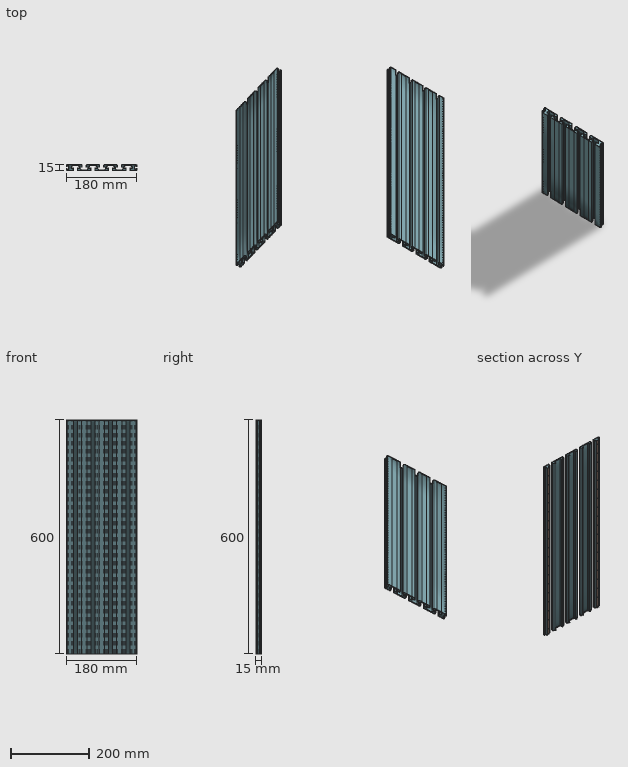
import cadquery as cq

WIDTH = 180.0
THICKNESS = 15.0
LENGTH = 600.0
CORNER_RADIUS = 2.0

SLOT_PITCH = 45.0
FRONT_SLOT_COUNT = 4
BACK_SLOT_COUNT = FRONT_SLOT_COUNT - 1
MOUTH_WIDTH = 10.2
CAVITY_WIDTH = 20.4
FLOOR_THICKNESS = 2.0
LIP_THICKNESS = 6.0
CAVITY_CHAMFER = 3.0
BACK_MOUTH_RADIUS = 2.5

SIDE_MOUTH_HEIGHT = 5.0
SIDE_CAVITY_HEIGHT = 9.5
SIDE_FLOOR_HEIGHT = 6.0
SIDE_LIP = 1.5
SIDE_DEPTH = 5.5


def extrude_half_outline(half_outline):
    """Full-length prism whose section is half_outline mirrored about the local Y axis."""
    mirrored = [(-x, y) for x, y in reversed(half_outline)]
    outline = half_outline + mirrored
    return cq.Workplane("XY").polyline(outline).close().extrude(LENGTH / 2, both=True)


def slot_cutter():
    """T-slot opening toward -Y, centred on X = 0."""
    face = -THICKNESS / 2
    lip_inside = face + LIP_THICKNESS
    floor = THICKNESS / 2 - FLOOR_THICKNESS
    half_mouth = MOUTH_WIDTH / 2
    half_cavity = CAVITY_WIDTH / 2
    return extrude_half_outline(
        [
            (half_mouth, face),
            (half_mouth, lip_inside),
            (half_cavity, lip_inside),
            (half_cavity, floor - CAVITY_CHAMFER),
            (half_cavity - CAVITY_CHAMFER, floor),
        ]
    )


def side_groove_cutter():
    """Undercut groove with its mouth at Y = 0, running toward +Y to a narrower floor."""
    half_mouth = SIDE_MOUTH_HEIGHT / 2
    half_cavity = SIDE_CAVITY_HEIGHT / 2
    half_floor = SIDE_FLOOR_HEIGHT / 2
    taper = half_cavity - half_floor
    return extrude_half_outline(
        [
            (half_mouth, 0),
            (half_mouth, SIDE_LIP),
            (half_cavity, SIDE_LIP),
            (half_cavity, SIDE_DEPTH - taper),
            (half_floor, SIDE_DEPTH),
        ]
    )


def slot_centers(count):
    """X positions of evenly spaced slots, symmetric about X = 0."""
    return [(i - (count - 1) / 2) * SLOT_PITCH for i in range(count)]


def round_back_mouth(body, center):
    """Round both long edges of the slot mouth at the given X on the back face."""
    back = THICKNESS / 2
    for side in (-1, 1):
        edge_point = (center + side * MOUTH_WIDTH / 2, back, 0)
        edge = body.edges("|Z").edges(cq.selectors.NearestToPointSelector(edge_point))
        body = edge.fillet(BACK_MOUTH_RADIUS)
    return body


def turned(cutter, angle):
    """Cutter turned about the Z axis."""
    return cutter.rotate((0, 0, 0), (0, 0, 1), angle)


result = cq.Workplane("XY").box(WIDTH, THICKNESS, LENGTH).edges("|Z").fillet(CORNER_RADIUS)

slot = slot_cutter()
for center in slot_centers(FRONT_SLOT_COUNT):
    result = result.cut(slot.translate((center, 0, 0)))

back_slot = turned(slot, 180)
for center in slot_centers(BACK_SLOT_COUNT):
    result = result.cut(back_slot.translate((center, 0, 0)))
    result = round_back_mouth(result, center)

side_groove = side_groove_cutter()
result = result.cut(turned(side_groove, -90).translate((-WIDTH / 2, 0, 0)))
result = result.cut(turned(side_groove, 90).translate((WIDTH / 2, 0, 0)))